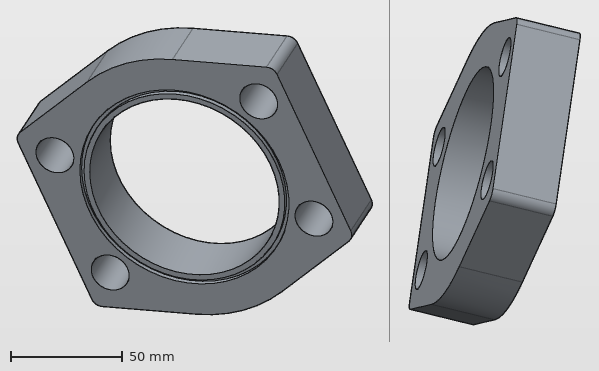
import cadquery as cq
import math

thickness = 30.0
half_length = 67.6
side_radius = 65.2
side_taper = 20
corner_radius = 5.0
tilt = 25
front_center = (0, -thickness / 2, 0)

bore_diameter = 89.6
groove_diameter = 99.0
groove_inner_diameter = 95.0
groove_depth = 2.5

bolt_diameter = 17.9
bolt_spacing_long = 106.4
bolt_spacing_short = 61.9


def flange_plate():
    """Six-cornered plate whose straight sides run tangent into the round middle."""
    taper = math.radians(side_taper)
    tangent_x = side_radius * math.sin(taper)
    tangent_y = side_radius * math.cos(taper)
    corner_y = (side_radius - half_length * math.sin(taper)) / math.cos(taper)
    return (
        cq.Workplane("XZ", origin=front_center)
        .moveTo(half_length, -corner_y)
        .lineTo(half_length, corner_y)
        .lineTo(tangent_x, tangent_y)
        .threePointArc((0, side_radius), (-tangent_x, tangent_y))
        .lineTo(-half_length, corner_y)
        .lineTo(-half_length, -corner_y)
        .lineTo(-tangent_x, -tangent_y)
        .threePointArc((0, -side_radius), (tangent_x, -tangent_y))
        .close()
        .extrude(-thickness)
        .edges("|Y and (>X or <X)")
        .fillet(corner_radius)
    )


def bore():
    return cq.Workplane("XZ", origin=front_center).circle(bore_diameter / 2).extrude(-thickness)


def bolt_holes():
    return (
        cq.Workplane("XZ", origin=front_center)
        .rect(bolt_spacing_long, bolt_spacing_short, forConstruction=True)
        .vertices()
        .circle(bolt_diameter / 2)
        .extrude(-thickness)
    )


def seal_groove():
    """Ring groove around the bore, open to the front (-Y) face."""
    return (
        cq.Workplane("XZ", origin=front_center)
        .circle(groove_diameter / 2)
        .circle(groove_inner_diameter / 2)
        .extrude(-groove_depth)
    )


flange = flange_plate().cut(bore()).cut(bolt_holes()).cut(seal_groove())
result = flange.rotate((0, 0, 0), (0, 1, 0), -tilt)